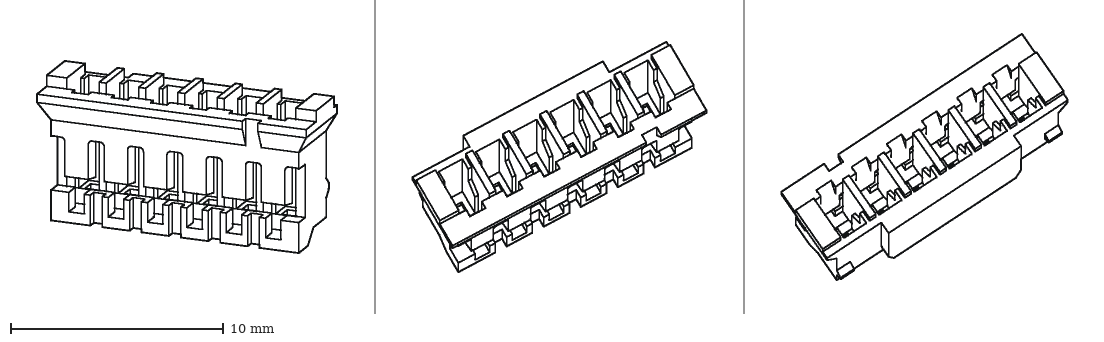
import cadquery as cq


CONTACTS = 6
PITCH = 2.0
RIB_THICKNESS = 0.35
CAVITY_WIDTH = PITCH - RIB_THICKNESS
contact_xs = [(i - (CONTACTS - 1) / 2) * PITCH for i in range(CONTACTS)]
rib_xs = [(i - CONTACTS / 2) * PITCH for i in range(1, CONTACTS)]

TOTAL_LENGTH = 13.7
FLANGE_OVERHANG_X = 0.55
FLANGE_OVERHANG_Y = 0.42
BODY_LENGTH = TOTAL_LENGTH - 2 * FLANGE_OVERHANG_X
BODY_FRONT = FLANGE_OVERHANG_Y
BODY_BACK = 3.88
BODY_TOP = 6.35
BODY_BOTTOM = 0.7
FLANGE_TAPER_BOTTOM = 5.01
FLANGE_TAPER_TOP = 5.95
FOOT_BACK = 1.58

FRONT_WALL_BACK = 1.23
CAVITY_BACK = 3.51
RIB_TOP = 6.9

PLATE_BACK = 4.5
PLATE_LENGTH = 7.54
PLATE_TAPER_TOP = 1.62
PLATE_TAPER_X = 0.3

BUMP_LENGTH = 0.77
BUMP_HEIGHT = 0.33
BUMP_BOTTOM = 1.67
BUMP_TOP = 2.63

KEY_CENTER_X = 2 * PITCH
KEY_WIDTH = 0.8

FLOOR_Z = 0.55
CHANNEL_WIDTH = 1.27
CHANNEL_FRONT = 2.29
CHANNEL_FLOOR_Z = 1.11
LEDGE_FRONT = 2.95
LEDGE_SLOPE_BOTTOM = 3.71
LEDGE_SLOPE_TOP = 4.45
HOLE_SIZE = 0.71
HOLE_CENTER_Y = 2.71

LEAD_IN_WIDTH = 0.84
LEAD_IN_DEPTH = 0.37
LEAD_IN_HEIGHT = 1.41

SHELF_Z = 1.52
WINDOW_TOP = 4.22
WINDOW_CORNER_RADIUS = 0.2
TONGUE_WIDTH = 1.19
TONGUE_SIDE_DRAFT = 0.05
TONGUE_FRONT_Z = 2.29
TONGUE_BACK_Z = 2.15
NOTCH_WIDTH = 0.78
GROOVE_WIDTH = 0.6
GROOVE_DEPTH = 0.44


def block(x_center, length, y0, y1, z0, z1):
    """Box of the given X length about x_center between Y and Z limits."""
    solid = cq.Workplane("XY").box(length, y1 - y0, z1 - z0, centered=(True, False, False))
    return solid.translate((x_center, y0, z0))


def side_prism(x_center, length, outline):
    """Closed (y, z) outline extruded along X, centred on x_center."""
    solid = cq.Workplane("YZ").polyline(outline).close().extrude(length / 2, both=True)
    return solid.translate((x_center, 0, 0))


def front_prism(y0, y1, outline):
    """Closed (x, z) outline extruded along Y from y0 to y1."""
    return cq.Workplane("XZ", origin=(0, y0, 0)).polyline(outline).close().extrude(y0 - y1)


def make_body():
    """Flanged body: side profile trimmed by the end profile, so the flange tapers on three sides."""
    side = side_prism(0, TOTAL_LENGTH, [
        (BODY_FRONT, 0),
        (FOOT_BACK, 0),
        (FOOT_BACK + BODY_BOTTOM, BODY_BOTTOM),
        (BODY_BACK, BODY_BOTTOM),
        (BODY_BACK, BODY_TOP),
        (0, BODY_TOP),
        (0, FLANGE_TAPER_TOP),
        (BODY_FRONT, FLANGE_TAPER_BOTTOM),
    ])
    half_body = BODY_LENGTH / 2
    half_total = TOTAL_LENGTH / 2
    ends = front_prism(0, BODY_BACK, [
        (-half_body, 0),
        (half_body, 0),
        (half_body, FLANGE_TAPER_BOTTOM),
        (half_total, FLANGE_TAPER_TOP),
        (half_total, BODY_TOP),
        (-half_total, BODY_TOP),
        (-half_total, FLANGE_TAPER_TOP),
        (-half_body, FLANGE_TAPER_BOTTOM),
    ])
    key_notch = block(KEY_CENTER_X, KEY_WIDTH, 0, BODY_FRONT, FLANGE_TAPER_BOTTOM, BODY_TOP)
    return side.intersect(ends).cut(key_notch)


def make_back_plate():
    """Plate on the back face, narrowing toward its lower edge."""
    top_half = PLATE_LENGTH / 2
    bottom_half = top_half - PLATE_TAPER_X
    return front_prism(BODY_BACK, PLATE_BACK, [
        (-bottom_half, BODY_BOTTOM),
        (bottom_half, BODY_BOTTOM),
        (top_half, PLATE_TAPER_TOP),
        (top_half, BODY_TOP),
        (-top_half, BODY_TOP),
        (-top_half, PLATE_TAPER_TOP),
    ])


def make_bump(x_center):
    """Latch bump with 45 degree flanks."""
    return side_prism(x_center, BUMP_LENGTH, [
        (BODY_BACK, BUMP_BOTTOM),
        (BODY_BACK + BUMP_HEIGHT, BUMP_BOTTOM + BUMP_HEIGHT),
        (BODY_BACK + BUMP_HEIGHT, BUMP_TOP - BUMP_HEIGHT),
        (BODY_BACK, BUMP_TOP),
    ])


def make_cavity(x_center):
    """Contact cavity: open bay in front, narrower channel behind, wire hole and lead-in."""
    floor_slope_front = CHANNEL_FRONT - (CHANNEL_FLOOR_Z - FLOOR_Z)
    bay = side_prism(x_center, CAVITY_WIDTH, [
        (FRONT_WALL_BACK, FLOOR_Z),
        (floor_slope_front, FLOOR_Z),
        (CHANNEL_FRONT, CHANNEL_FLOOR_Z),
        (CHANNEL_FRONT, LEDGE_SLOPE_BOTTOM),
        (LEDGE_FRONT, LEDGE_SLOPE_TOP),
        (LEDGE_FRONT, BODY_TOP),
        (FRONT_WALL_BACK, BODY_TOP),
    ])
    channel = block(x_center, CHANNEL_WIDTH, CHANNEL_FRONT, CAVITY_BACK, CHANNEL_FLOOR_Z, BODY_TOP)
    hole_front = HOLE_CENTER_Y - HOLE_SIZE / 2
    hole = block(x_center, HOLE_SIZE, hole_front, hole_front + HOLE_SIZE, 0, CHANNEL_FLOOR_Z)
    lead_in = side_prism(x_center, LEAD_IN_WIDTH, [
        (FRONT_WALL_BACK, BODY_TOP - LEAD_IN_HEIGHT),
        (FRONT_WALL_BACK, BODY_TOP),
        (FRONT_WALL_BACK - LEAD_IN_DEPTH, BODY_TOP),
    ])
    shelf_notch = block(x_center, NOTCH_WIDTH, BODY_FRONT, FRONT_WALL_BACK, FLOOR_Z, SHELF_Z)
    return bay.union(channel).union(hole).union(lead_in).union(shelf_notch)


def make_front_opening():
    """Space above the shelf: round-cornered windows, narrowing inward, joined below the tongues."""
    half_front = (PITCH - TONGUE_WIDTH) / 2
    half_back = half_front - TONGUE_SIDE_DRAFT
    window = (
        cq.Workplane("XY", origin=(0, 0, SHELF_Z))
        .polyline([
            (-half_front, BODY_FRONT),
            (half_front, BODY_FRONT),
            (half_back, FRONT_WALL_BACK),
            (-half_back, FRONT_WALL_BACK),
        ])
        .close()
        .extrude(WINDOW_TOP - SHELF_Z)
    )
    window = window.faces(">Z").edges("not |X").fillet(WINDOW_CORNER_RADIUS)
    window_xs = [-CONTACTS / 2 * PITCH] + rib_xs + [CONTACTS / 2 * PITCH]
    opening = side_prism(0, BODY_LENGTH, [
        (BODY_FRONT, SHELF_Z),
        (FRONT_WALL_BACK, SHELF_Z),
        (FRONT_WALL_BACK, TONGUE_BACK_Z),
        (BODY_FRONT, TONGUE_FRONT_Z),
    ])
    for x in window_xs:
        opening = opening.union(window.translate((x, 0, 0)))
    return opening


raised_strip = block(0, TOTAL_LENGTH, FRONT_WALL_BACK, CAVITY_BACK, BODY_TOP, RIB_TOP)
result = make_body().union(make_back_plate()).union(raised_strip)
for side in (-1, 1):
    result = result.union(make_bump(side * (BODY_LENGTH - BUMP_LENGTH) / 2))

for x in contact_xs:
    result = result.cut(make_cavity(x))
    result = result.cut(block(x, CAVITY_WIDTH, FRONT_WALL_BACK, CAVITY_BACK, BODY_TOP, RIB_TOP))

result = result.cut(make_front_opening())
for x in rib_xs:
    result = result.cut(block(x, GROOVE_WIDTH, BODY_FRONT, BODY_FRONT + GROOVE_DEPTH, 0, SHELF_Z))